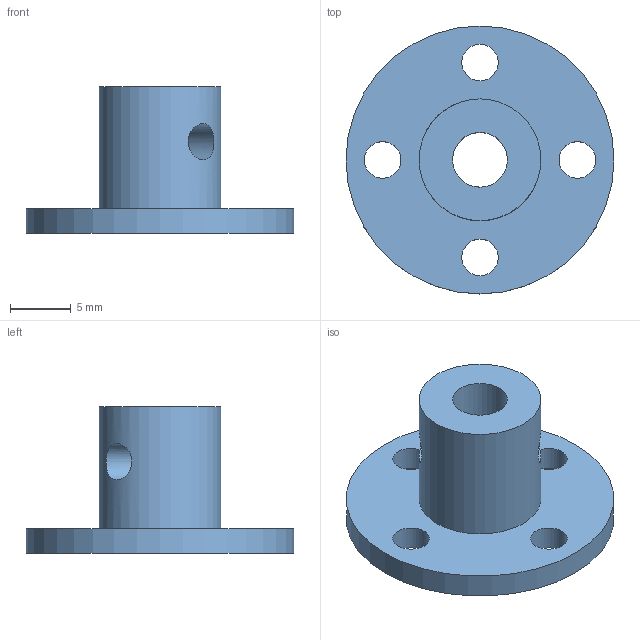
import cadquery as cq

flange_diameter = 22.0
flange_thickness = 2.0
hub_diameter = 10.0
hub_height = 10.0
bore_diameter = 4.5

mount_hole_diameter = 3.0
mount_hole_count = 4
mount_circle_diameter = 16.0

set_screw_diameter = 3.0
set_screw_height = 5.5
set_screw_angle = -45.0

total_height = flange_thickness + hub_height
set_screw_z = flange_thickness + set_screw_height


def make_body():
    """Round flange resting on Z = 0 with a coaxial hub on top."""
    flange = cq.Workplane("XY").circle(flange_diameter / 2).extrude(flange_thickness)
    hub = cq.Workplane("XY").circle(hub_diameter / 2).extrude(total_height)
    return flange.union(hub)


def make_bore():
    """Shaft bore through the hub and flange."""
    return cq.Workplane("XY").circle(bore_diameter / 2).extrude(total_height)


def make_mount_holes():
    """Evenly spaced holes through the flange, the first on the +X axis."""
    return (
        cq.Workplane("XY")
        .polarArray(mount_circle_diameter / 2, 0, 360, mount_hole_count)
        .circle(mount_hole_diameter / 2)
        .extrude(flange_thickness)
    )


def make_set_screw_hole():
    """Cross hole through both walls of the hub, on a diagonal between X and Y."""
    return (
        cq.Workplane("YZ")
        .center(0, set_screw_z)
        .circle(set_screw_diameter / 2)
        .extrude(hub_diameter, both=True)
        .rotate((0, 0, 0), (0, 0, 1), set_screw_angle)
    )


result = make_body().cut(make_bore()).cut(make_mount_holes()).cut(make_set_screw_hole())